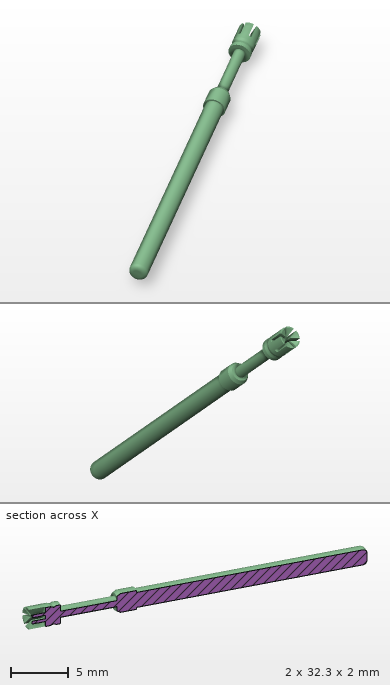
import cadquery as cq

length = 32.3
tip_y = length / 2
tail_y = -length / 2

head_radius = 1.0
groove_radius = 0.9
stem_radius = 0.52
collar_nose_radius = 0.8
barrel_radius = 0.85
tail_round = 0.42

crown_length = 2.0
groove_width = 0.58
flange_end = 2.97
collar_start = 8.33
collar_chamfer_end = 8.7
collar_end = 10.25

slot_count = 3
slot_width = 0.275
slot_length = 3 * head_radius
slot_depth = 1.5
tip_recess_radius = 0.87
tip_recess_depth = 0.52


def from_tip(distance):
    """Y position at a distance back from the tip."""
    return tip_y - distance


def turned_body():
    """Solid of revolution about Y, from the tip to the rounded tail."""
    groove_middle = crown_length + groove_width / 2
    groove_end = crown_length + groove_width
    tail_flat_radius = barrel_radius - tail_round
    return (
        cq.Workplane("XY")
        .moveTo(0, tip_y)
        .lineTo(head_radius, tip_y)
        .lineTo(head_radius, from_tip(crown_length))
        .lineTo(groove_radius, from_tip(groove_middle))
        .lineTo(head_radius, from_tip(groove_end))
        .lineTo(head_radius, from_tip(flange_end))
        .lineTo(stem_radius, from_tip(flange_end))
        .lineTo(stem_radius, from_tip(collar_start))
        .lineTo(collar_nose_radius, from_tip(collar_start))
        .lineTo(head_radius, from_tip(collar_chamfer_end))
        .lineTo(head_radius, from_tip(collar_end))
        .lineTo(barrel_radius, from_tip(collar_end))
        .lineTo(barrel_radius, tail_y + tail_round)
        .radiusArc((tail_flat_radius, tail_y), tail_round)
        .lineTo(0, tail_y)
        .close()
        .revolve(360, (0, 0, 0), (0, 1, 0))
    )


def tip_recess():
    """Conical hollow in the tip face."""
    return (
        cq.Workplane("XY")
        .moveTo(0, tip_y)
        .lineTo(tip_recess_radius, tip_y)
        .lineTo(0, from_tip(tip_recess_depth))
        .close()
        .revolve(360, (0, 0, 0), (0, 1, 0))
    )


def crown_slot(angle):
    """Slot across the full head diameter, turned about Y by the angle in degrees."""
    return (
        cq.Workplane("XY")
        .box(slot_length, slot_depth, slot_width)
        .translate((0, from_tip(slot_depth / 2), 0))
        .rotate((0, 0, 0), (0, 1, 0), angle)
    )


result = turned_body().cut(tip_recess())
for index in range(slot_count):
    result = result.cut(crown_slot(index * 180 / slot_count))